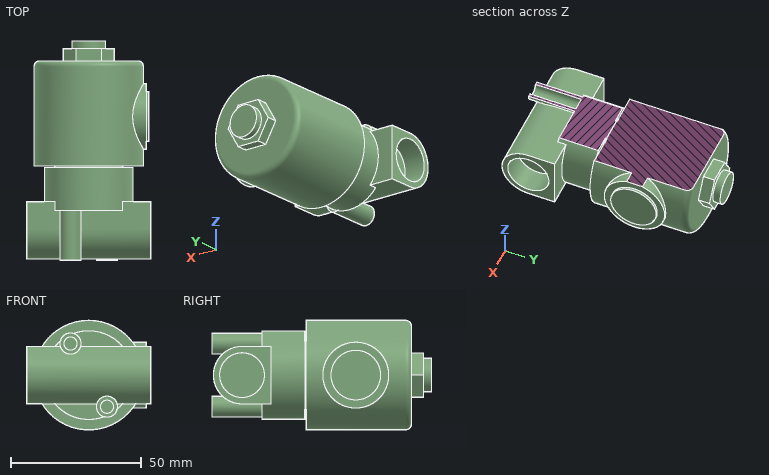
import cadquery as cq
import math

BLOCK_FRONT = 0.5
FLANGE_FRONT = 19.05
FLANGE_BACK = 35.5
COIL_FRONT = 36.0
COIL_BACK = 76.3
NUT_BACK = 80.9
STUD_BACK = 83.9

BLOCK_LENGTH = 47.5
BLOCK_RADIUS = 11.0
PORT_AXIS_Y = BLOCK_FRONT + BLOCK_RADIUS
BLOCK_BACK = PORT_AXIS_Y + BLOCK_RADIUS
PORT_RADIUS = 8.6
PORT_DEPTH = 9.4
FLANGE_RADIUS = 16.95
NECK_RADIUS = 13.0
POST_RADIUS = 4.0
POST_HOLE_RADIUS = 2.5
POST_HOLE_DEPTH = FLANGE_FRONT
POST_CIRCLE_RADIUS = 13.9
POST_ANGLES = (120, 300)

COIL_RADIUS = 21.0
COIL_FILLET = 2.3
NUT_ACROSS_FLATS = 16.95
STUD_RADIUS = 6.5
CONDUIT_Y = 55.0
CONDUIT_BOSS_RADIUS = 12.6
CONDUIT_BOSS_END = 22.0
CONDUIT_LIP_RADIUS = 9.5
CONDUIT_LIP_END = 23.0


def cylinder_y(radius, start, end, x=0, z=0):
    """Cylinder parallel to Y, between two Y positions."""
    solid = cq.Solid.makeCylinder(radius, end - start, cq.Vector(x, start, z), cq.Vector(0, 1, 0))
    return cq.Workplane(solid)


def cylinder_x(radius, start, end, y):
    """Cylinder parallel to X, between two X positions."""
    solid = cq.Solid.makeCylinder(radius, end - start, cq.Vector(start, y, 0), cq.Vector(1, 0, 0))
    return cq.Workplane(solid)


def make_port_block():
    """D-shaped block along X: flat at the back, half round at the front."""
    return (
        cq.Workplane("YZ", origin=(-BLOCK_LENGTH / 2, 0, 0))
        .moveTo(BLOCK_BACK, -BLOCK_RADIUS)
        .lineTo(BLOCK_BACK, BLOCK_RADIUS)
        .lineTo(PORT_AXIS_Y, BLOCK_RADIUS)
        .threePointArc((BLOCK_FRONT, 0), (PORT_AXIS_Y, -BLOCK_RADIUS))
        .close()
        .extrude(BLOCK_LENGTH)
    )


def make_valve_body():
    """Port block, round flange, neck and two hollow mounting posts."""
    body = make_port_block()
    body = body.union(cylinder_y(FLANGE_RADIUS, FLANGE_FRONT, FLANGE_BACK))
    body = body.union(cylinder_y(NECK_RADIUS, FLANGE_BACK, COIL_FRONT))

    half_length = BLOCK_LENGTH / 2
    for start in (-half_length, half_length - PORT_DEPTH):
        body = body.cut(cylinder_x(PORT_RADIUS, start, start + PORT_DEPTH, PORT_AXIS_Y))

    for angle in POST_ANGLES:
        x = POST_CIRCLE_RADIUS * math.cos(math.radians(angle))
        z = POST_CIRCLE_RADIUS * math.sin(math.radians(angle))
        body = body.union(cylinder_y(POST_RADIUS, 0, FLANGE_FRONT, x, z))
        body = body.cut(cylinder_y(POST_HOLE_RADIUS, 0, POST_HOLE_DEPTH, x, z))
    return body


def make_coil_housing():
    """Round housing with a side conduit boss, and a hex nut and stud at the back."""
    housing = cylinder_y(COIL_RADIUS, COIL_FRONT, COIL_BACK).faces(">Y").edges().fillet(COIL_FILLET)

    housing = housing.union(cylinder_x(CONDUIT_BOSS_RADIUS, 0, CONDUIT_BOSS_END, CONDUIT_Y))
    housing = housing.union(cylinder_x(CONDUIT_LIP_RADIUS, 0, CONDUIT_LIP_END, CONDUIT_Y))

    nut_across_corners = NUT_ACROSS_FLATS / math.cos(math.radians(30))
    nut = (
        cq.Workplane("XZ", origin=(0, COIL_BACK, 0))
        .polygon(6, nut_across_corners)
        .extrude(COIL_BACK - NUT_BACK)
    )
    housing = housing.union(nut)
    return housing.union(cylinder_y(STUD_RADIUS, NUT_BACK, STUD_BACK))


valve_body = make_valve_body()
coil_housing = make_coil_housing()

result = cq.Compound.makeCompound([valve_body.solids().val(), coil_housing.solids().val()])